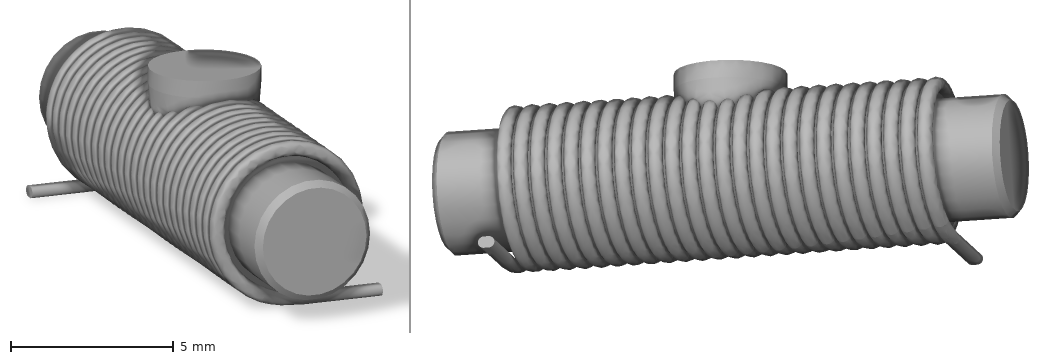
import cadquery as cq
import math


core_length = 18.15
core_diameter = 3.85
core_chamfer = 0.2

wire_diameter = 0.49
coil_outer_radius = 2.6
turns = 26
lead_spacing = 14.0
transition_angle = 23.0
lead_width = 0.53
lead_thickness = 0.36
lead_tip_span = 6.0
lead_bend_offset = 0.36

coil_radius = coil_outer_radius - wire_diameter / 2
pitch = lead_spacing / turns
lead_depth = coil_outer_radius - lead_thickness / 2
lead_x = -lead_spacing / 2

sleeve_diameter = 4.8
sleeve_length = 13.47
cap_diameter = 3.5
cap_top = 3.21
cap_rim_height = 0.55
neck_bottom_diameter = 3.34
neck_bottom = 1.63


def make_core():
    rod = cq.Workplane("YZ").circle(core_diameter / 2).extrude(core_length / 2, both=True)
    return rod.faces("<X or >X").chamfer(core_chamfer)


def helix_point(angle):
    """Point on the wire centreline; the angle in degrees starts at the bottom, toward +Y."""
    a = math.radians(angle)
    return cq.Vector(lead_x + pitch * angle / 360, coil_radius * math.sin(a), -coil_radius * math.cos(a))


def make_turn(start_angle, sweep_angle):
    """One turn of round wire about X, starting at the given angle along the winding."""
    path = cq.Wire.makeHelix(pitch, pitch * sweep_angle / 360, coil_radius)
    turn = (
        cq.Workplane("XZ", origin=(coil_radius, 0, 0))
        .circle(wire_diameter / 2)
        .sweep(cq.Workplane(path), isFrenet=True)
    )
    turn = turn.rotate((0, 0, 0), (0, 1, 0), 90).rotate((0, 0, 0), (1, 0, 0), start_angle)
    return turn.translate((helix_point(start_angle).x, 0, 0))


def make_lead():
    """Flattened straight lead toward -Y and the bend that joins it to the winding."""
    bend_start = cq.Vector(lead_x, -lead_bend_offset, -lead_depth)
    bend_end = helix_point(transition_angle)
    a = math.radians(transition_angle)
    end_direction = cq.Vector(0, math.cos(a), math.sin(a))

    lead_plane = cq.Plane(bend_start, (1, 0, 0), (0, 1, 0))
    coil_plane = cq.Plane(bend_end, (1, 0, 0), end_direction)

    straight = (
        cq.Workplane(lead_plane)
        .slot2D(lead_width, lead_thickness)
        .extrude(lead_bend_offset - lead_tip_span / 2)
    )
    path = cq.Edge.makeSpline([bend_start, bend_end], tangents=[cq.Vector(0, 1, 0), end_direction])
    lead_section = cq.Workplane(lead_plane).slot2D(lead_width, lead_thickness).wires().val()
    coil_section = cq.Workplane(coil_plane).circle(wire_diameter / 2).wires().val()
    bend = cq.Solid.sweep_multi([lead_section, coil_section], cq.Wire.assembleEdges([path]))
    return straight.union(cq.Workplane(bend))


def make_wire_pieces():
    """The wire as end-to-end pieces: lead, turns, lead."""
    turn_angle = 360 - 2 * transition_angle / turns
    wound_turns = [make_turn(transition_angle + i * turn_angle, turn_angle) for i in range(turns)]
    lead = make_lead()
    far_lead = lead.rotate((0, 0, 0), (0, 0, 1), 180)
    return [solid for piece in [lead, *wound_turns, far_lead] for solid in piece.solids().vals()]


def make_coil(wire_pieces):
    """Join the pieces, which share only their end faces, into one wire."""
    return cq.Workplane(wire_pieces[0].fuse(*wire_pieces[1:], glue=True))


def make_sleeve(core, wire_pieces):
    """Sleeve and cap in one piece, bored for the core and grooved for the wire."""
    tube = cq.Workplane("YZ").circle(sleeve_diameter / 2).extrude(sleeve_length / 2, both=True)
    rim_bottom = cap_top - cap_rim_height
    cap = (
        cq.Workplane("XZ")
        .moveTo(0, neck_bottom)
        .lineTo(neck_bottom_diameter / 2, neck_bottom)
        .lineTo(cap_diameter / 2, rim_bottom)
        .lineTo(cap_diameter / 2, cap_top)
        .lineTo(0, cap_top)
        .close()
        .revolve(360, (0, 0, 0), (0, 1, 0))
    )
    blank = tube.union(cap).cut(core)
    return cq.Workplane(blank.val().cut(*wire_pieces))


core = make_core()
wire_pieces = make_wire_pieces()
coil = make_coil(wire_pieces)
sleeve = make_sleeve(core, wire_pieces)

result = cq.Compound.makeCompound([*core.solids().vals(), *coil.solids().vals(), *sleeve.solids().vals()])